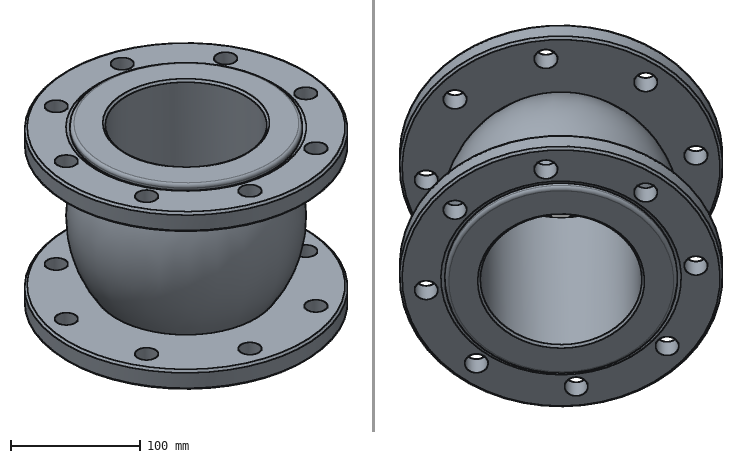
import cadquery as cq
import math

length = 170.0
bore_dia = 125.0
bore_chamfer = 2.0

flange_dia = 250.0
flange_thickness = 18.0
rim_chamfer = 2.0

face_dia = 180.0
face_height = 4.0
face_round = 3.0

groove_outer_dia = 186.0
groove_depth = 1.4

bolt_count = 8
bolt_hole_dia = 18.0
bolt_circle_dia = 210.0

bellows_max_dia = 186.0
bellows_arc_radius = 108.0

face_z = length / 2
flange_outer_z = face_z - face_height
flange_inner_z = flange_outer_z - flange_thickness


def make_bellows():
    """Solid barrel between the inner faces of the two flanges."""
    arc_center_r = bellows_max_dia / 2 - bellows_arc_radius
    end_r = arc_center_r + math.sqrt(bellows_arc_radius**2 - flange_inner_z**2)
    return (
        cq.Workplane("XZ")
        .moveTo(0, -flange_inner_z)
        .lineTo(end_r, -flange_inner_z)
        .threePointArc((bellows_max_dia / 2, 0), (end_r, flange_inner_z))
        .lineTo(0, flange_inner_z)
        .close()
        .revolve(360, (0, 0, 0), (0, 1, 0))
    )


def make_upper_flange():
    """Chamfered flange with its groove, rounded sealing face and bolt holes."""
    flange_r = flange_dia / 2
    face_r = face_dia / 2
    round_mid = face_round * math.sqrt(0.5)
    round_center_r = face_r - face_round
    round_center_z = face_z - face_round
    flange = (
        cq.Workplane("XZ")
        .moveTo(0, flange_inner_z)
        .lineTo(flange_r - rim_chamfer, flange_inner_z)
        .lineTo(flange_r, flange_inner_z + rim_chamfer)
        .lineTo(flange_r, flange_outer_z - rim_chamfer)
        .lineTo(flange_r - rim_chamfer, flange_outer_z)
        .lineTo(groove_outer_dia / 2, flange_outer_z)
        .lineTo(face_r, flange_outer_z - groove_depth)
        .lineTo(face_r, round_center_z)
        .threePointArc(
            (round_center_r + round_mid, round_center_z + round_mid),
            (round_center_r, face_z),
        )
        .lineTo(0, face_z)
        .close()
        .revolve(360, (0, 0, 0), (0, 1, 0))
    )
    bolt_holes = (
        cq.Workplane("XY", origin=(0, 0, flange_inner_z))
        .polarArray(bolt_circle_dia / 2, 180 / bolt_count, 360, bolt_count)
        .circle(bolt_hole_dia / 2)
        .extrude(flange_thickness)
    )
    return flange.cut(bolt_holes)


def cut_bore(body):
    """Straight through bore with a chamfer at both mouths."""
    bore_r = bore_dia / 2
    mouth_r = bore_r + bore_chamfer
    straight_z = face_z - bore_chamfer
    cutter = (
        cq.Workplane("XZ")
        .moveTo(0, -face_z)
        .lineTo(mouth_r, -face_z)
        .lineTo(bore_r, -straight_z)
        .lineTo(bore_r, straight_z)
        .lineTo(mouth_r, face_z)
        .lineTo(0, face_z)
        .close()
        .revolve(360, (0, 0, 0), (0, 1, 0))
    )
    return body.cut(cutter)


upper_flange = make_upper_flange()
lower_flange = upper_flange.mirror("XY")
result = cut_bore(make_bellows().union(upper_flange).union(lower_flange))